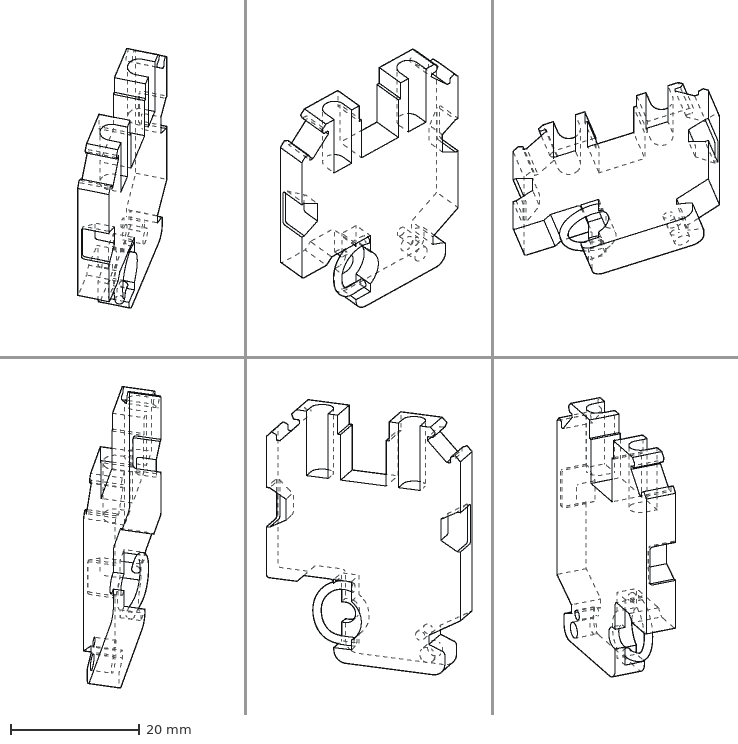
import cadquery as cq
import math


thickness = 5.1
width = 32.5
height = 41.0
half_width = width / 2

lip_root_y = 10.75
lip_root_z = 39.35
lip_reach = 0.95
lip_nose_out = 0.35
lip_nose_rise = 0.8
groove_step = 0.6
shoulder_run = 3.25
lip_bevel_y = 11.25
lip_foot_y = lip_root_y + shoulder_run + groove_step
lip_foot_z = lip_root_z - groove_step - shoulder_run
side_top_z = 35.9
lip_nose_radius = 0.15
groove_radius = 0.15

slot_half_width_top = 4.3
slot_half_width_bottom = 3.8
slot_step_z = 37.85
slot_floor_z = 30.3

rail_floor_z = 12.55
rail_ceiling_z = 13.65
rail_slope_outer_y = -11.1
rail_slope_inner_y = rail_slope_outer_y + rail_ceiling_z - rail_floor_z
edge_radius = 0.5
ceiling_radius = 0.6
foot_front_y = -4.95
foot_radius = 2.0
latch_y = 13.65
latch_corner_z = 3.95
latch_radius = 0.6
neck_y = 11.0
neck_top_z = 6.48
neck_bottom_z = 4.95
back_slope_z = 9.5

wall = 1.72
recess_face_y = -2.0
recess_floor_z = 2.38
notch_z = 7.18
notch_radius = 1.7
notch_straight = 0.65
notch_center_y = foot_front_y + notch_straight
hollow_half_height = 3.25
hollow_radius = math.hypot(recess_face_y - notch_center_y, hollow_half_height)

blind_depth = 3.35
small_hole = (8.85, 5.58, 0.78)
large_hole = (10.05, 2.5, 1.27)

entry_wall = 0.6
entry_bottom_z = 20.95
entry_top_z = 27.45
entry_taper = 1.5
entry_side_taper = 1.27
entry_mouth_depth = 0.55
entry_depth = 3.3
entry_corner_radius = 0.55

channel_y = 7.7
channel_width = 3.65
channel_radius = channel_width / 2
channel_wall = 1.25

wire_diameter = 1.35
wire_radius = wire_diameter / 2
loop_x = 4.25
loop_center_y = -3.45
loop_center_z = 8.0
loop_radius = 4.65
loop_end_angle = 65.0
loop_bend = [
    (4.22, -7.8, 6.05),
    (4.1, -7.05, 4.65),
    (3.8, -5.4, 3.5),
    (3.4, -3.5, 3.1),
    (3.35, -1.65, 3.1),
]


def box(x_range, y_range, z_range):
    """Axis-aligned box given by its limits."""
    sizes = [high - low for low, high in (x_range, y_range, z_range)]
    corner = (x_range[0], y_range[0], z_range[0])
    return cq.Workplane("XY").box(*sizes, centered=False).translate(corner)


def disc(y, z, radius, x_start, x_end):
    """Cylinder along X."""
    plane = cq.Workplane("YZ", origin=(x_start, 0, 0))
    return plane.center(y, z).circle(radius).extrude(x_end - x_start)


def shoulder_points():
    """Upper +Y half of the outline, from the slot floor out to the side face."""
    return [
        (slot_half_width_bottom, slot_floor_z),
        (slot_half_width_bottom, slot_step_z),
        (slot_half_width_top, slot_step_z),
        (slot_half_width_top, height),
        (lip_bevel_y, height),
        (lip_root_y + lip_reach + lip_nose_out, lip_root_z + lip_nose_rise),
        (lip_root_y + lip_reach, lip_root_z),
        (lip_root_y, lip_root_z),
        (lip_root_y, lip_root_z - groove_step),
        (lip_root_y + shoulder_run, lip_foot_z),
        (lip_foot_y, lip_foot_z),
        (lip_foot_y, lip_foot_z + lip_reach),
        (lip_foot_y + lip_nose_rise, lip_foot_z + lip_reach + lip_nose_out),
        (half_width, side_top_z),
    ]


def fillet_at(body, y, z, radius):
    """Round the outline corner at (y, z) through the full thickness."""
    reach = 0.05
    corner = cq.selectors.BoxSelector(
        (-reach, y - reach, z - reach), (thickness + reach, y + reach, z + reach)
    )
    return body.edges(corner).fillet(radius)


def make_plate():
    """Solid plate with the full outline and its rounded corners."""
    right = shoulder_points()
    left = [(-y, z) for y, z in reversed(right)]
    lower = [
        (half_width, back_slope_z),
        (neck_y, neck_top_z),
        (neck_y, neck_bottom_z),
        (latch_y, latch_corner_z),
        (latch_y, 0),
        (foot_front_y, 0),
        (foot_front_y, rail_ceiling_z),
        (rail_slope_inner_y, rail_ceiling_z),
        (rail_slope_outer_y, rail_floor_z),
        (-half_width, rail_floor_z),
    ]
    plate = cq.Workplane("YZ").polyline(right + lower + left).close().extrude(thickness)
    lip_noses = [
        (lip_root_y + lip_reach + lip_nose_out, lip_root_z + lip_nose_rise),
        (lip_foot_y + lip_nose_rise, lip_foot_z + lip_reach + lip_nose_out),
    ]
    groove_corners = [
        (lip_root_y + lip_reach, lip_root_z),
        (lip_root_y, lip_root_z),
        (lip_foot_y, lip_foot_z),
        (lip_foot_y, lip_foot_z + lip_reach),
    ]
    for side in (-1, 1):
        for y, z in lip_noses:
            plate = fillet_at(plate, side * y, z, lip_nose_radius)
        for y, z in groove_corners:
            plate = fillet_at(plate, side * y, z, groove_radius)
    plate = fillet_at(plate, latch_y, latch_corner_z, latch_radius)
    plate = fillet_at(plate, latch_y, 0, foot_radius)
    plate = fillet_at(plate, foot_front_y, 0, foot_radius)
    plate = fillet_at(plate, foot_front_y, rail_ceiling_z, ceiling_radius)
    return fillet_at(plate, -half_width, rail_floor_z, edge_radius)


def foot_cutter():
    """Recess for the wire loop, its round hollow and the finger notch."""
    recess = box(
        (wall, thickness), (foot_front_y, recess_face_y), (recess_floor_z, rail_ceiling_z)
    )
    hollow = disc(notch_center_y, notch_z, hollow_radius, wall, thickness)
    notch = disc(notch_center_y, notch_z, notch_radius, 0, wall)
    notch_mouth = box(
        (0, wall),
        (foot_front_y, notch_center_y),
        (notch_z - notch_radius, notch_z + notch_radius),
    )
    return recess.union(hollow).union(notch).union(notch_mouth)


def entry_section(plane, side_inset, z_inset):
    """Rectangle of the wire entry, open towards +X."""
    return plane.polyline([
        (entry_wall + side_inset, entry_bottom_z + z_inset),
        (thickness, entry_bottom_z + z_inset),
        (thickness, entry_top_z - z_inset),
        (entry_wall + side_inset, entry_top_z - z_inset),
    ]).close()


def entry_cutter():
    """Straight mouth and tapered funnel of the wire entry in the -Y face."""
    mouth_end_y = -half_width + entry_mouth_depth
    mouth_plane = cq.Workplane("XZ", origin=(0, mouth_end_y, 0))
    mouth = entry_section(mouth_plane, 0, 0).extrude(entry_mouth_depth)
    mouth = mouth.edges("|Y and <X").fillet(entry_corner_radius)
    funnel_start = entry_section(mouth_plane, 0, 0)
    funnel_depth = entry_depth - entry_mouth_depth
    funnel = entry_section(
        funnel_start.workplane(offset=-funnel_depth), entry_side_taper, entry_taper
    ).loft(ruled=True)
    closed_side = cq.selectors.BoxSelector(
        (0, -half_width, 0), (entry_wall + entry_side_taper, half_width, height)
    )
    slanted = funnel.edges("not(#X or #Y or #Z)").edges(closed_side)
    funnel = slanted.fillet(entry_corner_radius)
    return mouth.union(funnel)


def channel_cutter(y):
    """U-shaped screw channel, open at the top and towards +X."""
    center_x = channel_wall + channel_radius
    depth = height - slot_floor_z
    floor = cq.Workplane("XY", origin=(center_x, y, slot_floor_z))
    round_end = floor.circle(channel_radius).extrude(depth)
    straight = box(
        (center_x, thickness), (y - channel_radius, y + channel_radius), (slot_floor_z, height)
    )
    return round_end.union(straight)


def make_housing():
    """Terminal housing with all its recesses and holes."""
    body = make_plate().cut(foot_cutter())
    for y, z, radius in (small_hole, large_hole):
        body = body.cut(disc(y, z, radius, 0, blind_depth))
    entry = entry_cutter()
    for cutter in (entry, entry.mirror("XZ")):
        body = body.cut(cutter)
    for y in (-channel_y, channel_y):
        body = body.cut(channel_cutter(y))
    return body


def loop_point(angle):
    """Point on the round part of the loop; the angle is measured from +Y towards +Z."""
    turn = math.radians(angle)
    return cq.Vector(
        loop_x,
        loop_center_y + loop_radius * math.cos(turn),
        loop_center_z + loop_radius * math.sin(turn),
    )


def make_wire_loop(housing):
    """Bent round wire whose two ends stop flush on the recess face."""
    start = loop_point(loop_end_angle)
    arc_end = loop_point(180)
    middle = loop_point((loop_end_angle + 180) / 2)
    arc = cq.Edge.makeThreePointArc(start, middle, arc_end)
    bend = cq.Edge.makeSpline(
        [arc_end] + [cq.Vector(*point) for point in loop_bend],
        tangents=[cq.Vector(0, 0, -1), cq.Vector(0, 1, 0)],
    )
    path = cq.Workplane(cq.Wire.assembleEdges([arc, bend]))
    section = cq.Workplane(cq.Plane(start, (1, 0, 0), arc.tangentAt(0))).circle(wire_radius)
    return section.sweep(path).cut(housing)


housing = make_housing()
wire_loop = make_wire_loop(housing)

result = cq.Compound.makeCompound([housing.solids().val(), wire_loop.solids().val()])